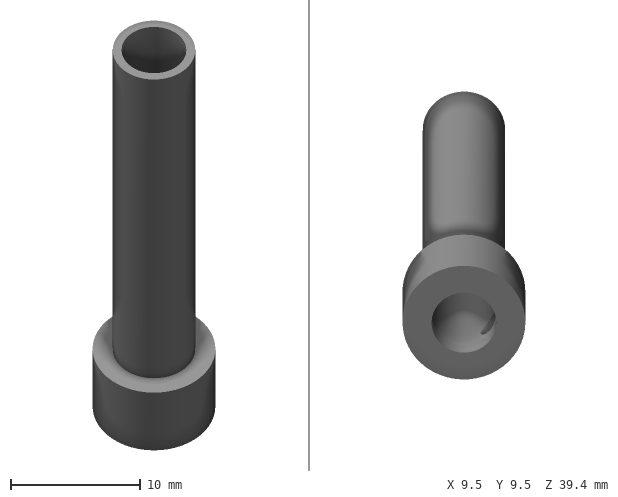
import cadquery as cq

total_length = 39.37
collar_diameter = 9.5
collar_height = 6.38
tube_diameter = 6.38
bore_diameter = 5.0
set_screw_diameter = 2.25
set_screw_height = collar_height / 2


def solid_sleeve():
    """Collar at the base with the slimmer tube rising from it."""
    collar = cq.Workplane("XY").circle(collar_diameter / 2).extrude(collar_height)
    tube = cq.Workplane("XY").circle(tube_diameter / 2).extrude(total_length)
    return collar.union(tube)


def bore():
    """Axial hole through the full length."""
    return cq.Workplane("XY").circle(bore_diameter / 2).extrude(total_length)


def set_screw_hole():
    """Radial hole through the -X wall of the collar, ending in the bore."""
    return (
        cq.Workplane("YZ")
        .center(0, set_screw_height)
        .circle(set_screw_diameter / 2)
        .extrude(-collar_diameter / 2)
    )


result = solid_sleeve().cut(bore()).cut(set_screw_hole())